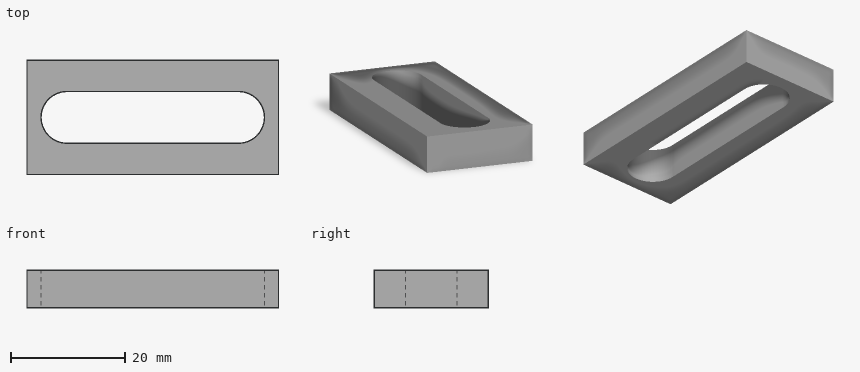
import cadquery as cq

plate_length = 44.0
plate_width = 20.0
plate_thickness = 6.6

slot_length = 39.0
slot_width = 9.0


def make_plate():
    """Plain block centred on X and Y, standing on Z = 0."""
    return cq.Workplane("XY").box(
        plate_length, plate_width, plate_thickness, centered=(True, True, False)
    )


def cut_slot(body):
    """Cut the through slot along X; its ends are full half circles."""
    return body.faces(">Z").workplane().slot2D(slot_length, slot_width).cutThruAll()


result = cut_slot(make_plate())